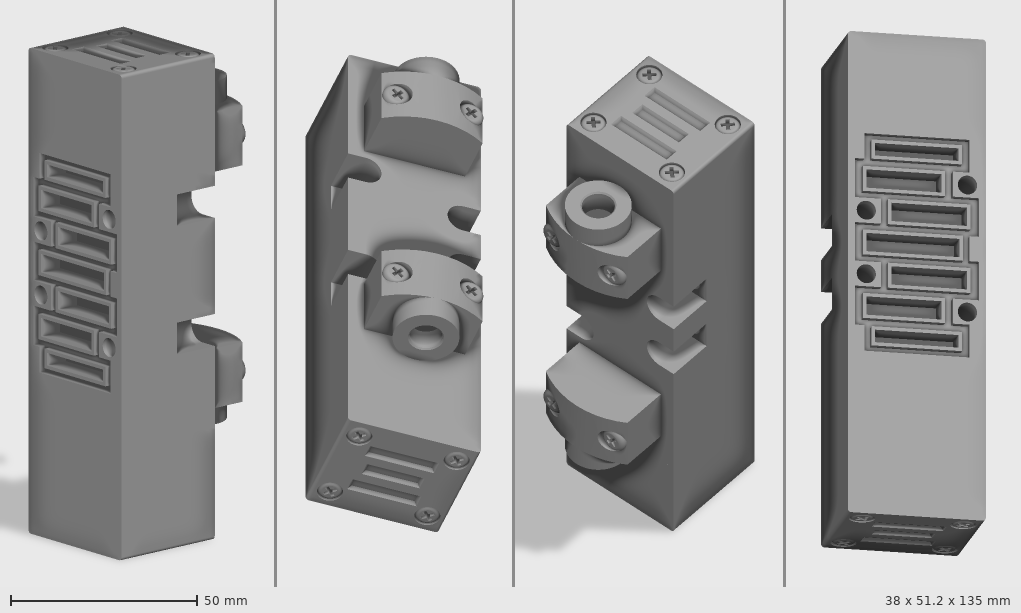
import cadquery as cq


overall_height = 135.0
body_width = 38.0
body_depth = 33.2
cap_height = 8.1
spacer_height = 17.1
housing_height = overall_height - spacer_height - 2 * cap_height
housing_top = housing_height / 2
spacer_bottom = -housing_top - spacer_height

row_pitch = 8.9
hole_x = 13.9
hole_diameter = 5.3
clearance_width = 8.9
clearance_depth = 13.5
mounting_holes = [
    (side, sign * row)
    for side, row in ((-1, row_pitch), (1, 2 * row_pitch))
    for sign in (-1, 1)
]

port_height = 7.0
end_port_height = 5.4
end_port_z = 26.2
port_left = -14.8
port_right = 14.7
middle_port_right = 12.7
short_port_left = -8.0
short_port_right = 7.7
end_port_right = 12.4
port_rim = 1.0
port_depth = 6.8
groove_depth = 1.9
groove_half_width = 17.0
groove_end_half_width = 14.5
groove_half_height = 30.5
groove_step_z = 23.4
island_inner_x = 9.9

screw_spacing_y = 23.0
cap_screw_diameter = 7.0
coil_screw_diameter = 7.5
screw_rounding_width = 1.2
screw_head_height = 2.5
screw_rounding_height = 1.2
screw_bulge = 0.2
cross_length = 3.8
cross_width = 1.1
cross_depth = 1.6

cap_edge_radius = 1.0
vent_lengths = (19.7, 16.5, 19.7)
vent_width = 4.0
vent_pitch = 6.9
vent_depth = 1.0
vent_wall_inset = 0.8

coil_width = 28.9
coil_reach = 18.0
coil_side_reach = 13.8
coil_bottom = 24.6
coil_top = 41.2
boss_top = 47.7
boss_diameter = coil_reach
boss_y = body_depth + boss_diameter / 2
bore_diameter = 8.9
bore_depth = boss_top - coil_top
bore_chamfer = 0.4
coil_screw_x = 10.5
coil_screw_reach = 15.8


def box(x_range, y_range, z_range):
    """Box between the given low and high limits on each axis."""
    lows, highs = zip(x_range, y_range, z_range)
    sizes = [high - low for low, high in zip(lows, highs)]
    return cq.Workplane("XY").box(*sizes, centered=False).translate(lows)


def body_block(bottom, height):
    """Plain block with the full body section."""
    return box((-body_width / 2, body_width / 2), (0, body_depth), (bottom, bottom + height))


def screw_head(diameter):
    """Round-edged head standing on Z = 0 along +Z, with a diagonal cross recess in its flat top."""
    outer = diameter / 2
    flat = outer - screw_rounding_width
    skirt_height = screw_head_height - screw_rounding_height
    bulge = ((outer + flat) / 2 + screw_bulge, skirt_height + screw_rounding_height / 2 + screw_bulge)
    head = (
        cq.Workplane("XZ")
        .lineTo(outer, 0)
        .lineTo(outer, skirt_height)
        .threePointArc(bulge, (flat, screw_head_height))
        .lineTo(0, screw_head_height)
        .close()
        .revolve(360, (0, 0), (0, 1))
    )
    for angle in (45, 135):
        arm = (
            cq.Workplane("XY", origin=(0, 0, screw_head_height - cross_depth))
            .rect(cross_length, cross_width)
            .extrude(cross_depth)
            .rotate((0, 0, 0), (0, 0, 1), angle)
        )
        head = head.cut(arm)
    return head


def screw_clearance(diameter, height):
    """Space around and inside a screw head, up to the given height over its base."""
    return cq.Workplane("XY").circle(diameter / 2).extrude(height).cut(screw_head(diameter))


def groove_outline(depth):
    """Stepped area of the sealing groove, going around the mounting holes."""
    half_port = port_height / 2
    right_step_z = 2 * row_pitch - half_port
    y_range = (0, depth)
    area = box(
        (-groove_end_half_width, groove_end_half_width),
        y_range,
        (-groove_half_height, groove_half_height),
    )
    area = area.union(box((-groove_half_width, 0), y_range, (-groove_step_z, groove_step_z)))
    area = area.union(box((0, groove_half_width), y_range, (-right_step_z, right_step_z)))
    for side, z in mounting_holes:
        x_range = sorted((side * island_inner_x, side * groove_half_width))
        area = area.cut(box(x_range, y_range, (z - half_port, z + half_port)))
    middle_notch = box((groove_end_half_width, groove_half_width), y_range, (-half_port, half_port))
    return area.cut(middle_notch)


def port_rows():
    """Left, right, height and Z of the rim around each port."""
    rows = [(port_left, middle_port_right, port_height, 0)]
    for sign in (-1, 1):
        rows.append((short_port_left, port_right, port_height, sign * row_pitch))
        rows.append((port_left, short_port_right, port_height, sign * 2 * row_pitch))
        rows.append((-end_port_right, end_port_right, end_port_height, sign * end_port_z))
    return rows


def make_housing():
    """Main block with ports and sealing groove in front and mounting holes right through."""
    housing = body_block(-housing_top, housing_height)
    groove = groove_outline(groove_depth)
    for left, right, height, z in port_rows():
        low, high = z - height / 2, z + height / 2
        groove = groove.cut(box((left, right), (0, groove_depth), (low, high)))
        port = box(
            (left + port_rim, right - port_rim),
            (0, port_depth),
            (low + port_rim, high - port_rim),
        )
        housing = housing.cut(port)
    housing = housing.cut(groove)

    clearance_range = (body_depth - clearance_depth, body_depth)
    for side, z in mounting_holes:
        x = side * hole_x
        axis_plane = cq.Workplane("XZ", origin=(x, body_depth, z))
        housing = housing.cut(axis_plane.circle(hole_diameter / 2).extrude(body_depth))
        housing = housing.cut(axis_plane.circle(clearance_width / 2).extrude(clearance_depth))
        x_range = sorted((x, side * body_width / 2))
        z_range = (z - clearance_width / 2, z + clearance_width / 2)
        housing = housing.cut(box(x_range, clearance_range, z_range))
    return housing


def make_spacer():
    """Plain block between the housing and the lower cap."""
    return body_block(spacer_bottom, spacer_height)


def make_cap():
    """End cap with its inner face at Z = 0 and its outer face up."""
    cap = body_block(0, cap_height).faces(">Z").edges("|Y").fillet(cap_edge_radius)
    middle_y = body_depth / 2

    for index, length in enumerate(vent_lengths):
        y = middle_y + (index - 1) * vent_pitch
        vent = (
            cq.Workplane("XY", origin=(0, y, cap_height))
            .rect(length, vent_width)
            .workplane(offset=-vent_depth)
            .rect(length - 2 * vent_wall_inset, vent_width - 2 * vent_wall_inset)
            .loft(ruled=True)
        )
        cap = cap.cut(vent)

    recess_floor = cap_height - screw_head_height
    for x in (-hole_x, hole_x):
        for y in (middle_y - screw_spacing_y / 2, middle_y + screw_spacing_y / 2):
            place = (x, y, recess_floor)
            cap = cap.cut(screw_clearance(cap_screw_diameter, screw_head_height).translate(place))
    return cap


def make_coil():
    """Upper solenoid: a block with a curved back, a round boss on top and two screws."""
    half_width = coil_width / 2
    coil = (
        cq.Workplane("XY", origin=(0, body_depth, coil_bottom))
        .moveTo(-half_width, 0)
        .lineTo(half_width, 0)
        .lineTo(half_width, coil_side_reach)
        .threePointArc((0, coil_reach), (-half_width, coil_side_reach))
        .close()
        .extrude(coil_top - coil_bottom)
    )
    boss = (
        cq.Workplane("XY", origin=(0, boss_y, coil_top))
        .circle(boss_diameter / 2)
        .extrude(boss_top - coil_top)
    )
    coil = coil.union(boss)
    bore = (
        cq.Workplane("XY", origin=(0, boss_y, boss_top - bore_depth))
        .circle(bore_diameter / 2)
        .extrude(bore_depth)
    )
    coil = coil.cut(bore)
    bore_rim = cq.selectors.RadiusNthSelector(0)
    coil = coil.faces(">Z").edges("%CIRCLE").edges(bore_rim).chamfer(bore_chamfer)

    screw_z = (coil_bottom + coil_top) / 2
    floor_reach = coil_screw_reach - screw_head_height
    turn_to_back = ((0, 0, 0), (1, 0, 0), -90)
    clearance = screw_clearance(coil_screw_diameter, coil_reach - floor_reach).rotate(*turn_to_back)
    head = screw_head(coil_screw_diameter).rotate(*turn_to_back)
    for x in (-coil_screw_x, coil_screw_x):
        place = (x, body_depth + floor_reach, screw_z)
        coil = coil.cut(clearance.translate(place)).union(head.translate(place))
    return coil


housing = make_housing()
spacer = make_spacer()
cap = make_cap()
upper_cap = cap.translate((0, 0, housing_top))
lower_cap = cap.mirror("XY").translate((0, 0, spacer_bottom))
upper_coil = make_coil()
lower_coil = upper_coil.mirror("XY")

result = cq.Compound.makeCompound([
    housing.val(),
    spacer.val(),
    upper_cap.val(),
    lower_cap.val(),
    upper_coil.val(),
    lower_coil.val(),
])